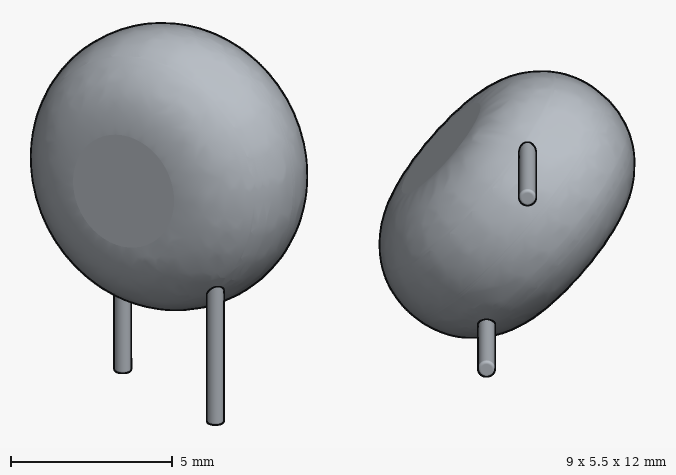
import cadquery as cq

body_diameter = 9.0
body_thickness = 5.5
edge_radius = 2.68

total_height = 12.03
lead_diameter = 0.54
lead_spacing_x = 5.0
lead_spacing_y = 2.82
lead_tip_radius = 0.1

lead_length = total_height - body_diameter / 2


def make_body():
    """Thick disc with both rims rounded, leaving flat faces and a narrow band."""
    return (
        cq.Workplane("XZ")
        .circle(body_diameter / 2)
        .extrude(body_thickness / 2, both=True)
        .edges()
        .fillet(edge_radius)
    )


def make_lead(side):
    """Lead with a rounded tip; side is +1 for the +X, -Y lead and -1 for the other."""
    return (
        cq.Workplane("XY")
        .center(side * lead_spacing_x / 2, -side * lead_spacing_y / 2)
        .circle(lead_diameter / 2)
        .extrude(-lead_length)
        .faces("<Z")
        .edges()
        .fillet(lead_tip_radius)
    )


result = make_body()
for side in (-1, 1):
    result = result.union(make_lead(side))